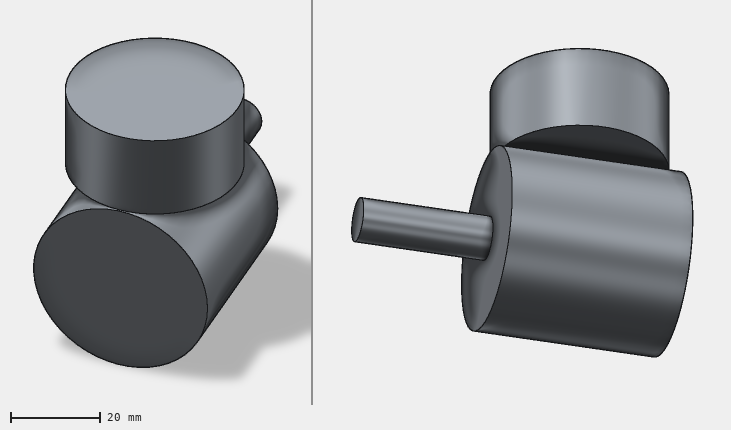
import cadquery as cq

overall_length = 72.0
drum_diameter = 42.0
drum_length = 42.0
shaft_diameter = 10.0
disc_diameter = 40.0
disc_height = 20.0
disc_front_gap = 0.4

shaft_length = overall_length - drum_length
drum_top = drum_diameter / 2
disc_center_y = disc_front_gap + disc_diameter / 2


def make_drum():
    """Drum lying along Y with a coaxial shaft on its rear face."""
    drum = cq.Workplane("XZ").circle(drum_diameter / 2).extrude(-drum_length)
    shaft = (
        cq.Workplane("XZ", origin=(0, drum_length, 0))
        .circle(shaft_diameter / 2)
        .extrude(-shaft_length)
    )
    return drum.union(shaft)


def make_disc():
    """Upright disc resting on the top line of the drum."""
    return (
        cq.Workplane("XY", origin=(0, disc_center_y, drum_top))
        .circle(disc_diameter / 2)
        .extrude(disc_height)
    )


drum_with_shaft = make_drum()
disc = make_disc()

result = cq.Compound.makeCompound([drum_with_shaft.val(), disc.val()])